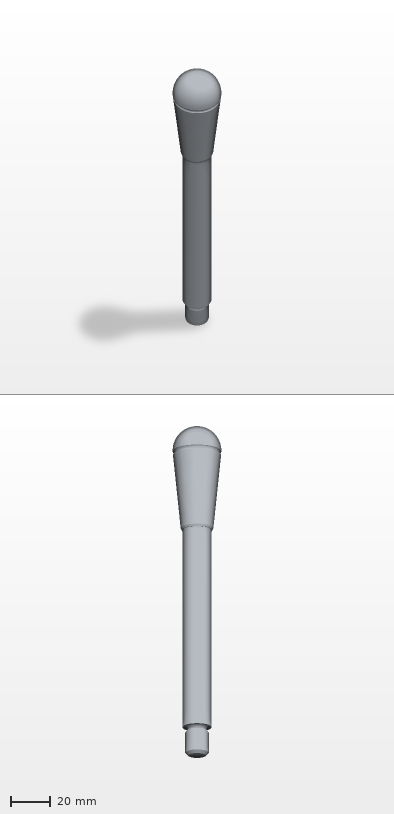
import cadquery as cq

total_length = 175.0

thread_radius = 12.0 / 2
tip_radius = 9.1 / 2
neck_radius = 10.0 / 2
thread_end_chamfer = thread_radius - tip_radius
shoulder_z = 15.0
neck_length = 3.0
neck_fillet = 1.4
neck_bottom_z = shoulder_z - neck_length

rod_radius = 15.0 / 2

cap_radius = 25.0 / 2
cap_center_z = total_length - cap_radius
cap_bottom_z = 162.0
grip_bottom_z = 120.0
grip_top_z = 160.0
grip_bottom_radius = 16.8 / 2
grip_top_radius = 24.7 / 2
grip_chamfer_width = 0.5
grip_chamfer_height = 1.0
groove_radius = 23.8 / 2


def revolve_profile(profile):
    """Turn a closed radius-height profile about the Z axis."""
    return profile.close().revolve(360, (0, 0, 0), (0, 1, 0))


def make_rod():
    """Rod with its threaded end, relieved below the shoulder."""
    profile = (
        cq.Workplane("XZ")
        .lineTo(tip_radius, 0)
        .lineTo(thread_radius, thread_end_chamfer)
        .lineTo(thread_radius, neck_bottom_z)
        .lineTo(neck_radius, shoulder_z - neck_fillet)
        .radiusArc((neck_radius + neck_fillet, shoulder_z), neck_fillet)
        .lineTo(rod_radius, shoulder_z)
        .lineTo(rod_radius, grip_bottom_z)
        .lineTo(0, grip_bottom_z)
    )
    return revolve_profile(profile)


def make_knob():
    """Tapered grip, ring groove and spherical cap."""
    cap_bottom_radius = (cap_radius**2 - (cap_center_z - cap_bottom_z) ** 2) ** 0.5
    groove_middle_z = (grip_top_z + cap_bottom_z) / 2
    arc_middle = cap_radius * 0.5**0.5
    profile = (
        cq.Workplane("XZ")
        .moveTo(0, grip_bottom_z)
        .lineTo(grip_bottom_radius - grip_chamfer_width, grip_bottom_z)
        .lineTo(grip_bottom_radius, grip_bottom_z + grip_chamfer_height)
        .lineTo(grip_top_radius, grip_top_z)
        .threePointArc((groove_radius, groove_middle_z), (cap_bottom_radius, cap_bottom_z))
        .threePointArc((arc_middle, cap_center_z + arc_middle), (0, total_length))
    )
    return revolve_profile(profile)


result = make_rod().union(make_knob())